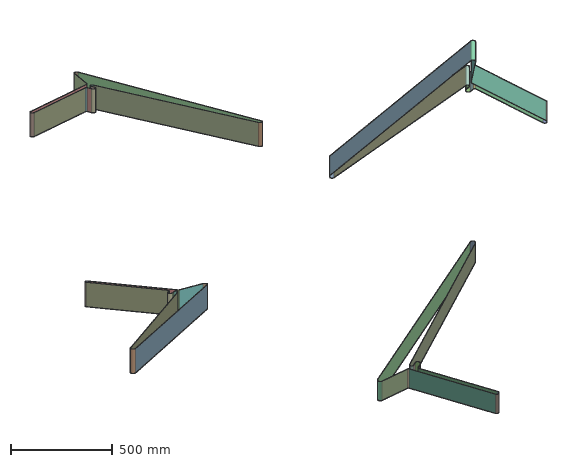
import cadquery as cq
import math

LENGTH = 1152.0
DEPTH = 590.0
HEIGHT = 127.0
WALL = 1.0

END_RADIUS = 14.0
TONGUE_RADIUS = 14.0
POCKET_RADIUS = 9.0
CORNER_RADIUS = 7.0
SHOULDER_RADIUS = 9.0

LEG_LEFT = 146.0
LEG_RIGHT = 170.0
TONGUE_TIP = 215.0
TONGUE_TOP = -119.0
SHOULDER_ANGLE = math.radians(30)

foot_radius = (LEG_RIGHT - LEG_LEFT) / 2
tongue_bottom = TONGUE_TOP - 2 * TONGUE_RADIUS

shoulder_x = LEG_LEFT - SHOULDER_RADIUS
shoulder_y = (
    -END_RADIUS
    - (shoulder_x - END_RADIUS) * math.tan(SHOULDER_ANGLE)
    - (END_RADIUS + SHOULDER_RADIUS) / math.cos(SHOULDER_ANGLE)
)

BENDS = [
    (LEG_LEFT + foot_radius, -DEPTH + foot_radius, foot_radius, 1),
    (LEG_RIGHT + CORNER_RADIUS, tongue_bottom - CORNER_RADIUS, CORNER_RADIUS, -1),
    (TONGUE_TIP - TONGUE_RADIUS, TONGUE_TOP - TONGUE_RADIUS, TONGUE_RADIUS, 1),
    (LEG_RIGHT + POCKET_RADIUS, TONGUE_TOP + POCKET_RADIUS, POCKET_RADIUS, -1),
    (LENGTH - END_RADIUS, -END_RADIUS, END_RADIUS, 1),
    (END_RADIUS, -END_RADIUS, END_RADIUS, 1),
    (shoulder_x, shoulder_y, SHOULDER_RADIUS, -1),
]


def inset_bends(inset):
    """Move the outline inward: left bends tighten and right bends widen."""
    return [(x, y, radius - turn * inset, turn) for x, y, radius, turn in BENDS]


def tangent_heading(start, end):
    """Direction of the straight wall that runs from one bend to the next."""
    x0, y0, radius0, turn0 = start
    x1, y1, radius1, turn1 = end
    dx = x1 - x0
    dy = y1 - y0
    radius_change = turn1 * radius1 - turn0 * radius0
    return math.atan2(dy, dx) - math.asin(radius_change / math.hypot(dx, dy))


def bend_point(bend, heading):
    """Point on a bend where the outline runs in the given direction."""
    x, y, radius, turn = bend
    return (x + turn * radius * math.sin(heading), y - turn * radius * math.cos(heading))


def solid_loop(inset):
    """Full-height solid bounded by the bends and the straight walls between them."""
    bends = inset_bends(inset)
    count = len(bends)
    headings = [tangent_heading(bends[i], bends[(i + 1) % count]) for i in range(count)]
    outline = cq.Workplane("XY").moveTo(*bend_point(bends[0], headings[-1]))
    for i, bend in enumerate(bends):
        turn = bend[3]
        heading_in = headings[i - 1]
        sweep = turn * ((turn * (headings[i] - heading_in)) % (2 * math.pi))
        if i > 0:
            outline = outline.lineTo(*bend_point(bend, heading_in))
        middle = bend_point(bend, heading_in + sweep / 2)
        outline = outline.threePointArc(middle, bend_point(bend, headings[i]))
    return outline.close().extrude(HEIGHT)


result = solid_loop(0).cut(solid_loop(WALL))